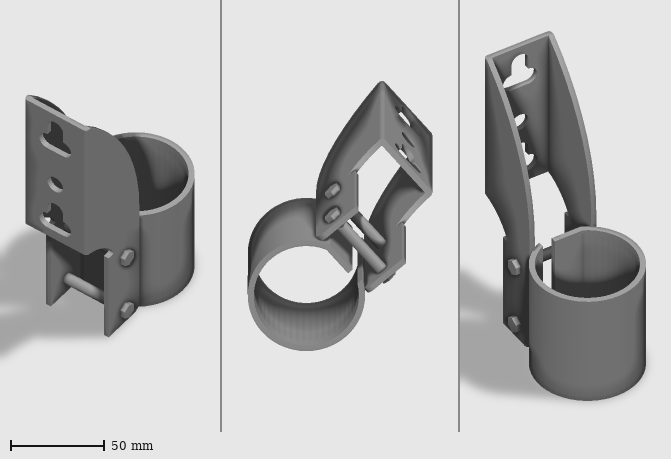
import cadquery as cq
import math

ring_diameter = 62.8
ring_height = 69.3
wall = 3.3
ring_radius = ring_diameter / 2
bore_radius = ring_radius - wall
flat_outer_y = -28.4
flat_inner_y = flat_outer_y + wall
gap_left_x = 5.0
gap_right_x = 12.5

total_depth = 103.4
total_height = 172.0
bracket_width = 42.0
front_y = ring_radius - total_depth
back_y = -25.0
leg_front_y = -52.3
leg_top_z = 60.0
bottom_corner_radius = 5.2
bend_radius = 2.0
side_arc_radius = 124.7
side_arc_start_z = 77.4
web_bottom_z = 77.5
notch_end = (-48.2, 61.7)
notch_arc_middle = (-58.0, 72.2)
notch_radius = 1.2

hole_diameter = 10.5
hole_z = 119.2
keyhole_width = 21.3
keyholes = ((89.0, 10.3), (149.1, 12.0))

bolt_y = -38.0
bolt_heights = (10.1, 50.0)
shank_diameter = 6.4
head_across_flats = 8.0
head_thickness = 3.1


def flattened_disc(radius, flat_y):
    """Full-height disc with everything in front of flat_y removed."""
    keep = (
        cq.Workplane("XY")
        .box(2 * radius, 2 * radius, ring_height, centered=(True, False, False))
        .translate((0, flat_y, 0))
    )
    return cq.Workplane("XY").circle(radius).extrude(ring_height).intersect(keep)


def make_ring():
    """Ring with a flattened, split side facing the bracket."""
    outside = flattened_disc(ring_radius, flat_outer_y)
    bore = flattened_disc(bore_radius, flat_inner_y)
    gap = (
        cq.Workplane("XY")
        .box(gap_right_x - gap_left_x, 2 * wall, ring_height, centered=(False, True, False))
        .translate((gap_left_x, (flat_inner_y + flat_outer_y) / 2, 0))
    )
    return outside.cut(bore).cut(gap)


def make_bracket():
    """Side profile extruded across the width, then hollowed into a U."""
    arc_center_y = back_y - side_arc_radius
    arc_rise = total_height - side_arc_start_z
    sweep = math.asin(arc_rise / side_arc_radius)

    def on_side_arc(angle):
        return (
            arc_center_y + side_arc_radius * math.cos(angle),
            side_arc_start_z + side_arc_radius * math.sin(angle),
        )

    body = (
        cq.Workplane("YZ")
        .moveTo(leg_front_y, 0)
        .lineTo(back_y - bottom_corner_radius, 0)
        .radiusArc((back_y, bottom_corner_radius), -bottom_corner_radius)
        .lineTo(back_y, side_arc_start_z)
        .threePointArc(on_side_arc(sweep / 2), on_side_arc(sweep))
        .lineTo(front_y, total_height)
        .lineTo(front_y, web_bottom_z)
        .threePointArc(notch_arc_middle, notch_end)
        .radiusArc((notch_end[0] - notch_radius, leg_top_z), notch_radius)
        .lineTo(leg_front_y, leg_top_z)
        .close()
        .extrude(bracket_width / 2, both=True)
    )
    body = body.edges("|Z and <Y").fillet(bend_radius)
    channel = (
        cq.Workplane("XY")
        .box(bracket_width - 2 * wall, total_depth, total_height, centered=(True, False, False))
        .translate((0, front_y + wall, 0))
    )
    return body.cut(channel)


def web_cutter(outline):
    """Extrude an outline on the front face through the web only."""
    return outline.extrude(-2 * wall)


def web_plane(z):
    """Workplane on the front face of the web at height z."""
    return cq.Workplane("XZ", origin=(0, front_y, z))


def make_keyhole(z, stem_rise):
    """Wide rounded slot with a narrower round-topped stem above it."""
    slot = web_cutter(web_plane(z).slot2D(keyhole_width, hole_diameter))
    stem_length = stem_rise + hole_diameter
    stem = web_cutter(web_plane(z + stem_rise / 2).slot2D(stem_length, hole_diameter, 90))
    return slot.union(stem)


def make_bolt(z):
    """Round shank between the plates with a hexagon at each outer side."""
    axis = cq.Workplane("YZ", origin=(0, bolt_y, z))
    bolt = axis.circle(shank_diameter / 2).extrude(bracket_width / 2, both=True)
    corner_diameter = head_across_flats / math.cos(math.pi / 6)
    for side in (-1, 1):
        head = (
            cq.Workplane("YZ", origin=(side * bracket_width / 2, bolt_y, z))
            .transformed(rotate=(0, 0, 90))
            .polygon(6, corner_diameter)
            .extrude(side * head_thickness)
        )
        bolt = bolt.union(head)
    return bolt


bracket = make_bracket().cut(web_cutter(web_plane(hole_z).circle(hole_diameter / 2)))
for keyhole_z, stem_rise in keyholes:
    bracket = bracket.cut(make_keyhole(keyhole_z, stem_rise))

result = bracket.union(make_ring())
for bolt_z in bolt_heights:
    result = result.union(make_bolt(bolt_z))